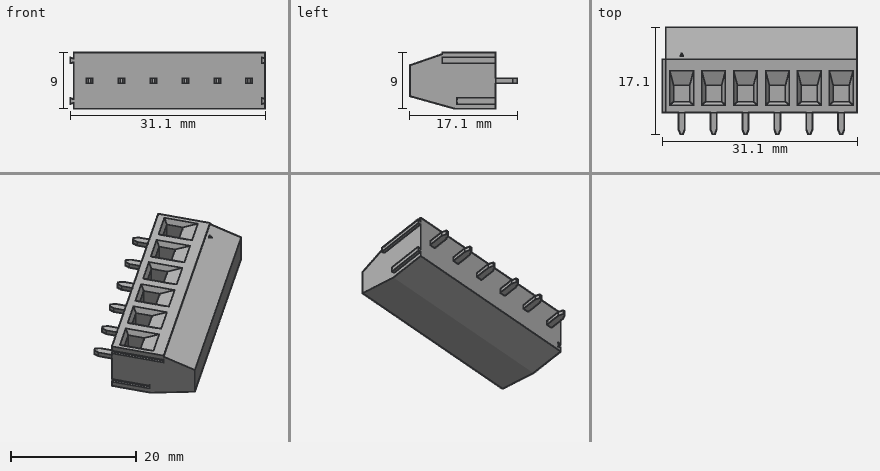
import cadquery as cq
poles = 6
overall_length = 31.05
overall_depth = 17.1
height = 9.0

rail_projection = 0.55
rail_tip_height = 0.95
rail_root_height = 0.62
upper_rail_z = 7.73
lower_rail_z = 1.27
lower_rail_length = 6.18

pin_length = 3.48
pin_width = 1.02
pin_thickness = 0.87
pin_tip_width = 0.4
pin_tip_length = 0.78

land_depth = 8.5
land_step = 0.25
back_top_z = 7.0
back_bottom_z = 2.02
base_depth = 6.4

entry_width = 3.8
entry_front_y = 1.18
entry_back_y = 6.68
throat_width = 2.58
throat_front_y = 1.75
throat_back_y = 4.38
funnel_depth = 0.8

mark_width = 0.5
mark_length = 0.5
mark_gap = 0.53
mark_depth = 0.1

body_length = overall_length - rail_projection
body_depth = overall_depth - pin_length
pitch = body_length / poles
middle_z = height / 2
pole_centers = [(pole + 0.5) * pitch for pole in range(poles)]


def make_housing():
    """Extrude the side profile along X, front face at Y = 0, left end at X = 0."""
    profile = [
        (0, 0),
        (base_depth, 0),
        (body_depth, back_bottom_z),
        (body_depth, back_top_z),
        (land_depth, height - land_step),
        (land_depth, height),
        (0, height),
    ]
    return cq.Workplane("YZ").polyline(profile).close().extrude(body_length)


def make_rail(end_x, center_z, length):
    """Dovetail bar widening toward -X from its root on the plane X = end_x."""
    root = rail_root_height / 2
    tip = rail_tip_height / 2
    tip_x = end_x - rail_projection
    section = [
        (end_x, center_z - root),
        (end_x, center_z + root),
        (tip_x, center_z + tip),
        (tip_x, center_z - tip),
    ]
    return cq.Workplane("XZ").polyline(section).close().extrude(-length)


def make_entry(center_x):
    """Lopsided funnel leading down to a straight rectangular throat."""
    mouth_y = (entry_front_y + entry_back_y) / 2
    throat_y = (throat_front_y + throat_back_y) / 2
    throat_depth = throat_back_y - throat_front_y
    funnel_floor_z = height - funnel_depth
    funnel = (
        cq.Workplane("XY", origin=(center_x, mouth_y, height))
        .rect(entry_width, entry_back_y - entry_front_y)
        .workplane(offset=-funnel_depth)
        .center(0, throat_y - mouth_y)
        .rect(throat_width, throat_depth)
        .loft(ruled=True)
    )
    throat = (
        cq.Workplane("XY", origin=(center_x, throat_y, middle_z))
        .rect(throat_width, throat_depth)
        .extrude(funnel_floor_z - middle_z)
    )
    return funnel.union(throat)


def make_pin(center_x):
    """Flat pin pointing to -Y with both sides tapered at the tip."""
    half = pin_width / 2
    half_tip = pin_tip_width / 2
    shoulder_y = pin_tip_length - pin_length
    outline = [
        (-half, 0),
        (-half, shoulder_y),
        (-half_tip, -pin_length),
        (half_tip, -pin_length),
        (half, shoulder_y),
        (half, 0),
    ]
    bottom_z = middle_z - pin_thickness / 2
    return (
        cq.Workplane("XY", origin=(center_x, 0, bottom_z))
        .polyline(outline)
        .close()
        .extrude(pin_thickness)
    )


def make_mark(center_x):
    """Shallow triangular prism pointing to +Y, set square to the sloped top."""
    slope_run = body_depth - land_depth
    slope_drop = height - land_step - back_top_z
    slope_plane = cq.Plane(
        origin=(center_x, land_depth, height - land_step),
        xDir=(1, 0, 0),
        normal=(0, slope_drop, slope_run),
    )
    outline = [
        (-mark_width / 2, mark_gap),
        (mark_width / 2, mark_gap),
        (0, mark_gap + mark_length),
    ]
    return cq.Workplane(slope_plane).polyline(outline).close().extrude(-mark_depth)


result = make_housing()

for rail_z, rail_length in ((upper_rail_z, land_depth), (lower_rail_z, lower_rail_length)):
    result = result.union(make_rail(0, rail_z, rail_length))
    result = result.cut(make_rail(body_length, rail_z, rail_length))

for pole_x in pole_centers:
    result = result.cut(make_entry(pole_x))
    result = result.union(make_pin(pole_x))

result = result.cut(make_mark(pole_centers[0]))